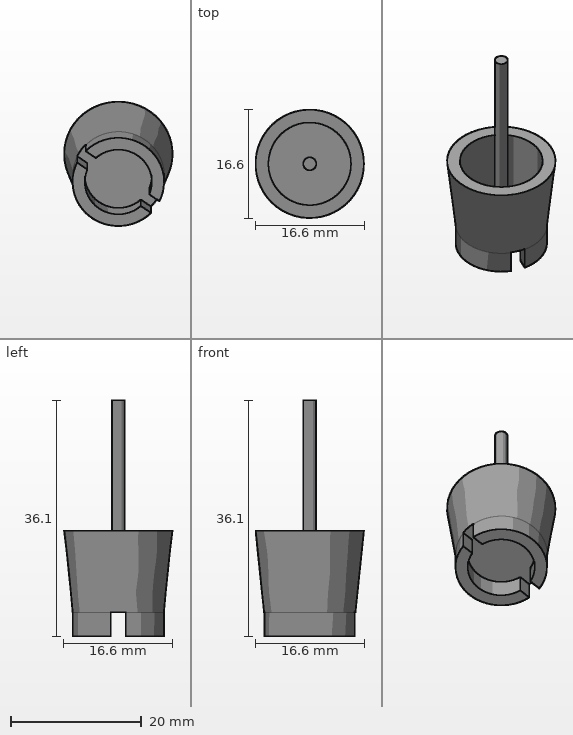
import cadquery as cq

total_height = 36.13
cup_height = 16.2
collar_height = 3.7

rim_diameter = 16.62
collar_diameter = 14.02
bore_diameter = 12.65
pin_diameter = 2.0
collar_bore_diameter = 10.25
slot_width = 2.25

floor_thickness = (rim_diameter - bore_diameter) / 2
floor_height = collar_height + floor_thickness


def make_cup():
    """Flared cup standing on a straight collar, bored from both ends."""
    collar_radius = collar_diameter / 2
    body = (
        cq.Workplane("XZ")
        .lineTo(collar_radius, 0)
        .lineTo(collar_radius, collar_height)
        .lineTo(rim_diameter / 2, cup_height)
        .lineTo(0, cup_height)
        .close()
        .revolve(360, (0, 0), (0, 1))
    )
    bore = (
        cq.Workplane("XY", origin=(0, 0, floor_height))
        .circle(bore_diameter / 2)
        .extrude(cup_height - floor_height)
    )
    collar_bore = cq.Workplane("XY").circle(collar_bore_diameter / 2).extrude(collar_height)
    return body.cut(bore).cut(collar_bore)


def make_slot():
    """Slot along X, right across the collar and open at the underside."""
    return cq.Workplane("XY").rect(rim_diameter, slot_width).extrude(collar_height)


def make_pin():
    """Central pin rising from the bore floor."""
    return (
        cq.Workplane("XY", origin=(0, 0, floor_height))
        .circle(pin_diameter / 2)
        .extrude(total_height - floor_height)
    )


result = make_cup().cut(make_slot()).union(make_pin())